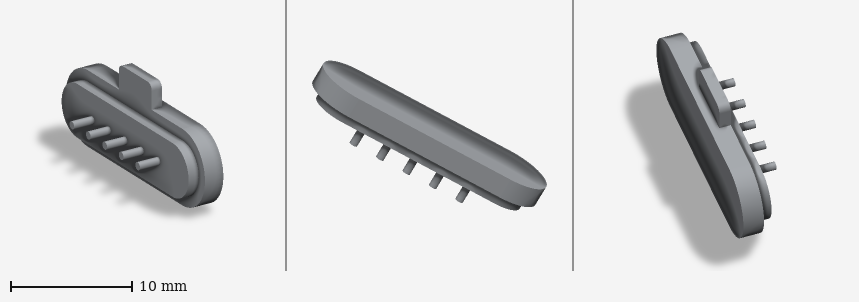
import cadquery as cq

flange_length = 21.2
flange_height = 6.87
flange_depth = 1.8
step_length = 19.31
step_height = 4.83
step_depth = 1.0

tab_width = 5.0
tab_rise = 2.31
tab_thickness = 1.0
tab_corner_radius = 0.6

pin_count = 5
pin_diameter = 0.7
pin_pitch = 2.5
pin_protrusion = 2.0

flange_front_y = -flange_depth
step_front_y = flange_front_y - step_depth
pin_length = flange_depth + step_depth + pin_protrusion
pin_positions = [(i - (pin_count - 1) / 2) * pin_pitch for i in range(pin_count)]


def stadium(length, height, back_y, depth):
    """Plate with round ends, extending from back_y toward -Y."""
    return (
        cq.Workplane("XZ", origin=(0, back_y, 0))
        .slot2D(length, height)
        .extrude(depth)
    )


def make_tab():
    """Tab with rounded upper corners, rooted at the flange's mid-height."""
    tab_height = flange_height / 2 + tab_rise
    return (
        cq.Workplane("XZ", origin=(0, flange_front_y + tab_thickness, 0))
        .rect(tab_width, tab_height)
        .extrude(tab_thickness)
        .translate((0, 0, tab_height / 2))
        .edges("|Y and >Z")
        .fillet(tab_corner_radius)
    )


def make_pin(x):
    """Straight pin running from the flange's back face to its free tip."""
    return (
        cq.Workplane("XZ", origin=(x, 0, 0))
        .circle(pin_diameter / 2)
        .extrude(pin_length)
    )


def make_housing():
    """Flange, step and tab in one solid, with a through hole for each pin."""
    flange = stadium(flange_length, flange_height, 0, flange_depth)
    step = stadium(step_length, step_height, flange_front_y, step_depth)
    body = flange.union(step).union(make_tab())
    for x in pin_positions:
        body = body.cut(make_pin(x))
    return body


housing = make_housing().solids()
pins = [make_pin(x) for x in pin_positions]

result = cq.Compound.makeCompound([housing.val(), *[pin.val() for pin in pins]])